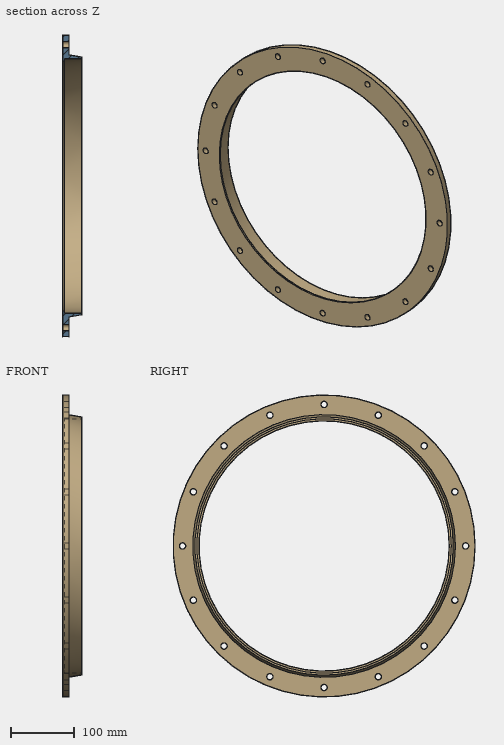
import cadquery as cq

flange_diameter = 475.0
flange_thickness = 10.0
bore_diameter = 393.0

overall_depth = 30.0
collar_root_diameter = 413.0
collar_rim_diameter = 406.0

recess_diameter = 400.0
lip_thickness = 3.0

bolt_count = 16
bolt_hole_diameter = 9.5
bolt_circle_diameter = 445.0


def make_ring():
    """Flange, collar and stepped bore, revolved about the X axis."""
    profile = [
        (0, bore_diameter / 2),
        (0, flange_diameter / 2),
        (flange_thickness, flange_diameter / 2),
        (flange_thickness, collar_root_diameter / 2),
        (overall_depth, collar_rim_diameter / 2),
        (overall_depth, recess_diameter / 2),
        (lip_thickness, recess_diameter / 2),
        (lip_thickness, bore_diameter / 2),
    ]
    return cq.Workplane("XY").polyline(profile).close().revolve(360, (0, 0, 0), (1, 0, 0))


def make_bolt_holes():
    """Cylinders on the bolt circle, with one hole on each of the Y and Z axes."""
    return (
        cq.Workplane("YZ")
        .polarArray(bolt_circle_diameter / 2, 0, 360, bolt_count)
        .circle(bolt_hole_diameter / 2)
        .extrude(flange_thickness)
    )


result = make_ring().cut(make_bolt_holes())